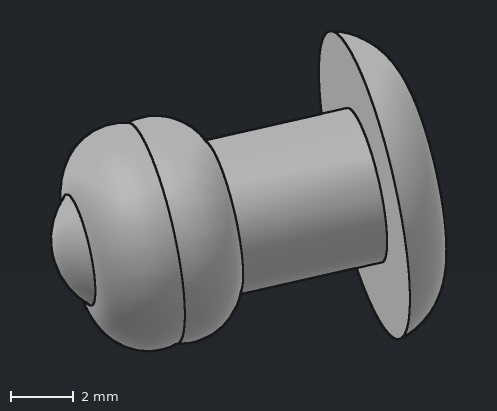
import cadquery as cq
import math

head_radius = 10.05 / 2
head_flat_radius = 2.73
shaft_radius = 2.52
seam_radius = 3.6
dome_radius = 1.82

total_length = 12.1
head_depth = 1.8
shaft_end = 6.58
seam_place = 8.85
bulb_end = 11.28

bulb_arc_radius = 1.9


def arc_mid(start, end, radius):
    """Middle of the minor arc that bulges to the left of start-to-end."""
    dx = end[0] - start[0]
    dy = end[1] - start[1]
    chord = math.hypot(dx, dy)
    rise = radius - math.sqrt(radius**2 - (chord / 2) ** 2)
    middle_x = (start[0] + end[0]) / 2
    middle_y = (start[1] + end[1]) / 2
    return (middle_x - dy * rise / chord, middle_y + dx * rise / chord)


head_flat_rim = (head_flat_radius, 0)
head_rim = (head_radius, -head_depth)
bulb_start = (shaft_radius, -shaft_end)
seam = (seam_radius, -seam_place)
bulb_tip = (dome_radius, -bulb_end)
tip = (0, -total_length)

head_run = head_radius - head_flat_radius
head_arc_radius = (head_run**2 + head_depth**2) / (2 * head_depth)

dome_height = total_length - bulb_end
dome_arc_radius = (dome_radius**2 + dome_height**2) / (2 * dome_height)

profile = (
    cq.Workplane("XY")
    .lineTo(*head_flat_rim)
    .threePointArc(arc_mid(head_flat_rim, head_rim, head_arc_radius), head_rim)
    .lineTo(shaft_radius, -head_depth)
    .lineTo(*bulb_start)
    .threePointArc(arc_mid(bulb_start, seam, bulb_arc_radius), seam)
    .threePointArc(arc_mid(seam, bulb_tip, bulb_arc_radius), bulb_tip)
    .threePointArc(arc_mid(bulb_tip, tip, dome_arc_radius), tip)
    .close()
)

result = profile.revolve(360, (0, 0, 0), (0, 1, 0)).translate((0, total_length / 2, 0))